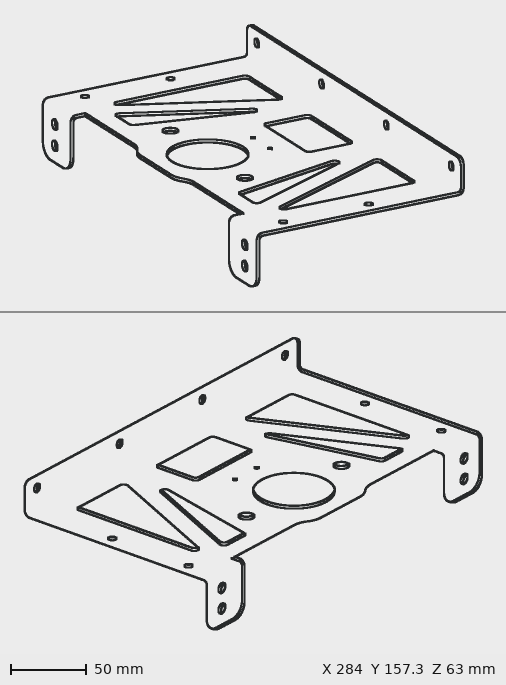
import cadquery as cq


width = 284.0
depth = 157.3
height = 63.0
sheet = 2.3
bend_inner = 2.3
bend_outer = bend_inner + sheet

flange_top = 25.3
flange_corner = 4.8
flange_hole_dia = 6.0
flange_hole_pitch = 86.0
flange_hole_count = 4
flange_hole_drop = 9.5

tab_bottom = flange_top - height
tab_width = 37.0
tab_corner = 10.0
tab_hole_dia = 7.0
tab_hole_x = 126.0
tab_hole_low = 12.0
tab_hole_pitch = 15.0

edge_y = 11.0
nose_y = bend_outer
nose_flat_half = 20.2
nose_base_half = 40.0

window_corner = 3.0
window_top = 138.0
center_window_width = 59.5
center_window_bottom = 102.8
outer_window_x = 112.5
outer_window_inner_x = 61.3
outer_window_tip_y = 25.0
inner_window_bottom = 26.5
inner_window_outer_x = 95.5
inner_window_inner_x = 70.7
inner_window_tip_y = 139.7

brace_lean = (outer_window_x - outer_window_inner_x) / (window_top - outer_window_tip_y)

bore_dia = 54.0
bore_y = 44.0
flank_hole_dia = 10.5
flank_hole_x = 49.5
pin_hole_dia = 2.8
pin_hole_x = 11.5
pin_hole_y = 85.0
side_hole_dia = 5.5
side_hole_x = 131.5
side_hole_front_y = 26.0
side_hole_pitch = 65.0


def both_sides(x, *heights):
    """Points at +x and -x for every given second coordinate."""
    return [(side * x, v) for v in heights for side in (-1, 1)]


def bent_sheet():
    """Z-shaped sheet section, extruded over the full width."""
    rear_inner = depth - sheet
    return (
        cq.Workplane("YZ")
        .moveTo(0, tab_bottom)
        .lineTo(0, sheet - bend_outer)
        .radiusArc((bend_outer, sheet), bend_outer)
        .lineTo(rear_inner - bend_inner, sheet)
        .radiusArc((rear_inner, bend_outer), -bend_inner)
        .lineTo(rear_inner, flange_top)
        .lineTo(depth, flange_top)
        .lineTo(depth, bend_outer)
        .radiusArc((depth - bend_outer, 0), bend_outer)
        .lineTo(bend_outer, 0)
        .radiusArc((sheet, -bend_inner), -bend_inner)
        .lineTo(sheet, tab_bottom)
        .close()
        .extrude(width / 2, both=True)
    )


def front_gap():
    """Space between the tabs, bounded by the plate's front edge and its S-curved nose."""
    gap_half = width / 2 - tab_width
    curve_mid_half = (nose_flat_half + nose_base_half) / 2
    curve_mid_y = (nose_y + edge_y) / 2
    rise = edge_y - nose_y
    run = nose_base_half - nose_flat_half
    curve_radius = (run**2 + rise**2) / (4 * rise)
    return (
        cq.Workplane("XY", origin=(0, 0, tab_bottom))
        .moveTo(-gap_half, 0)
        .lineTo(-gap_half, edge_y)
        .lineTo(-nose_base_half, edge_y)
        .radiusArc((-curve_mid_half, curve_mid_y), curve_radius)
        .radiusArc((-nose_flat_half, nose_y), -curve_radius)
        .lineTo(nose_flat_half, nose_y)
        .radiusArc((curve_mid_half, curve_mid_y), -curve_radius)
        .radiusArc((nose_base_half, edge_y), curve_radius)
        .lineTo(gap_half, edge_y)
        .lineTo(gap_half, 0)
        .close()
        .extrude(height)
    )


def window(corners):
    """Round-cornered cutter through the plate."""
    return cq.Workplane("XY").polyline(corners).close().extrude(sheet).edges("|Z").fillet(window_corner)


def center_window():
    """Rectangular opening behind the bore."""
    half = center_window_width / 2
    return window(
        [
            (-half, center_window_bottom),
            (half, center_window_bottom),
            (half, window_top),
            (-half, window_top),
        ]
    )


def outer_window():
    """Right-hand triangle between the plate's side and the diagonal brace."""
    return window(
        [
            (outer_window_x, window_top),
            (outer_window_inner_x, window_top),
            (outer_window_x, outer_window_tip_y),
        ]
    )


def inner_window():
    """Right-hand narrow triangle on the inner side of the diagonal brace."""
    tip_x = inner_window_outer_x - brace_lean * (inner_window_tip_y - inner_window_bottom)
    return window(
        [
            (inner_window_outer_x, inner_window_bottom),
            (inner_window_inner_x, inner_window_bottom),
            (tip_x, inner_window_tip_y),
        ]
    )


def plate_holes(diameter, points):
    """Holes along Z through the plate."""
    return cq.Workplane("XY").pushPoints(points).circle(diameter / 2).extrude(sheet)


def upright_holes(diameter, points, front_y):
    """Holes along Y through a flange or tab whose front face is at front_y."""
    return cq.Workplane("XZ", origin=(0, front_y, 0)).pushPoints(points).circle(diameter / 2).extrude(-sheet)


result = bent_sheet().cut(front_gap())
result = result.faces(">Z").edges("|Y").fillet(flange_corner)
result = result.faces("<Z").edges("|Y").fillet(tab_corner)

result = result.cut(center_window())
for cutter in (outer_window(), inner_window()):
    result = result.cut(cutter).cut(cutter.mirror("YZ"))

side_hole_rear_y = side_hole_front_y + side_hole_pitch
result = result.cut(plate_holes(bore_dia, [(0, bore_y)]))
result = result.cut(plate_holes(flank_hole_dia, both_sides(flank_hole_x, bore_y)))
result = result.cut(plate_holes(pin_hole_dia, both_sides(pin_hole_x, pin_hole_y)))
result = result.cut(plate_holes(side_hole_dia, both_sides(side_hole_x, side_hole_front_y, side_hole_rear_y)))

flange_hole_z = flange_top - flange_hole_drop
row_half = flange_hole_pitch * (flange_hole_count - 1) / 2
flange_points = [(i * flange_hole_pitch - row_half, flange_hole_z) for i in range(flange_hole_count)]
result = result.cut(upright_holes(flange_hole_dia, flange_points, depth - sheet))

low_z = tab_bottom + tab_hole_low
tab_points = both_sides(tab_hole_x, low_z, low_z + tab_hole_pitch)
result = result.cut(upright_holes(tab_hole_dia, tab_points, 0))